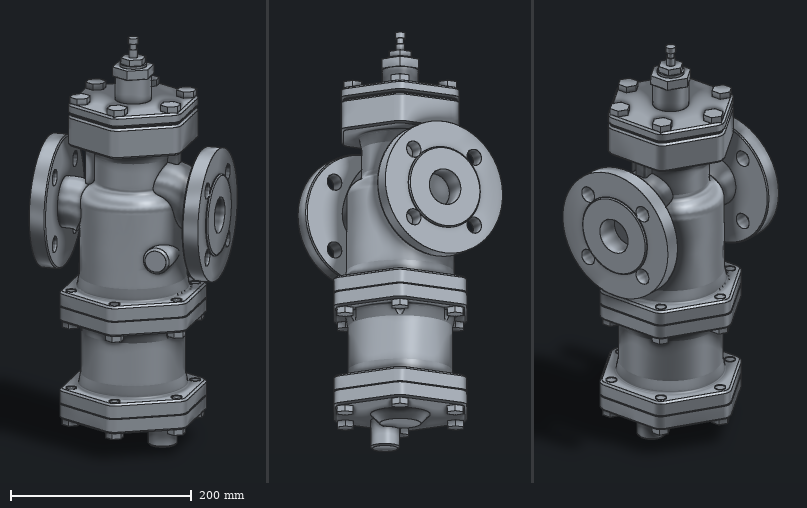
import cadquery as cq
import math

foot_boss_z = 21.5
lower_joint_z = 31.7
middle_joint_z = 144.0
joint_height = 35.0
port_z = 270.0
neck_base_z = 303.5
top_joint_z = 346.8
top_joint_height = 49.0
cover_z = top_joint_z + top_joint_height
stem_top_z = 466.5

joint_width = 147.5
joint_corner_radius = 13.0
joint_bolt_radius = 70.5
joint_bolt_width = 17.7
joint_bolt_hole_diameter = 12.0
joint_bolt_hole_depth = 1.0
spot_face_diameter = 24.5
spot_face_depth = 16.5
top_joint_width = 130.5
top_bolt_radius = 60.5
top_bolt_width = 20.0
bolt_head_height = 7.0
plate_edge = 2.5
seam_recess = 1.0
joint_seam = 1.0
gasket_height = 1.5
cover_height = 12.5

lower_radius = 116.0 / 2
body_radius = 120.0 / 2
shoulder_radius = 59.5
shoulder_z = 278.0
shoulder_blend_z = 295.5
neck_radius = 43.0
flare_height = 14.0
flare_width = 2.5
flare_fillet = 3.0

overall_length = 200.0
port_face_x = overall_length / 2
port_diameter = 150.0
port_thickness = 18.5
port_edge = 1.5
raised_face_diameter = 91.5
raised_face_height = 2.5
port_back_x = port_face_x - raised_face_height - port_thickness
port_bolt_diameter = 18.0
port_bolt_radius = 54.5
port_bolt_count = 4
port_bolt_start_angle = 180 / port_bolt_count
bore_diameter = 40.0
bore_depth = 25.5
pipe_radius = 29.0
inlet_bend_x = 72.5
inlet_bend_radius = 46.5
inlet_bend_angle = 30.0
outlet_bend_x = 93.0
outlet_bend_angle = 55.0
outlet_lower_bend_radius = 31.0
outlet_upper_bend_radius = 41.0

rib_reach = 54.0
rib_width = 15.0
rib_edge_radius = 3.5
rib_base_z = 284.5

plug_diameter = 30.0
plug_x = 43.0
plug_z = 227.5
plug_end_y = -56.0
plug_edge = 3.0

spindle_diameter = 40.0
spindle_top_z = 423.8
cap_width = 41.0
cap_top_z = 434.5
washer_diameter = 30.0
washer_top_z = 437.5
lock_nut_width = 24.7
lock_nut_top_z = 444.5
stem_diameter = 10.0
stem_shoulder_z = 453.5
stem_neck_diameter = 7.5
stem_head_z = 460.0
stem_head_diameter = 11.0

foot_boss_radius = 23.0
foot_boss_slope = 45.0
drain_diameter = 32.0
drain_x = 34.0
drain_edge = 2.0

overlap = 2.5


def hex_prism(width, z, height):
    """Hexagonal prism with flats facing +-X; width is measured across the flats."""
    across_corners = 2 * width / math.sqrt(3)
    return (
        cq.Workplane("XY")
        .workplane(offset=z)
        .polygon(6, across_corners)
        .extrude(height)
        .rotate((0, 0, 0), (0, 0, 1), 30)
    )


def disc(diameter, z, height, x=0.0):
    return cq.Workplane("XY").workplane(offset=z).center(x, 0).circle(diameter / 2).extrude(height)


def bolt_circle(radius):
    """Six points in line with the corners of the hexagonal joints."""
    angles = [math.radians(30 + 60 * i) for i in range(6)]
    return [(radius * math.cos(a), radius * math.sin(a)) for a in angles]


def at_bolts(piece, radius):
    copies = cq.Workplane("XY")
    for x, y in bolt_circle(radius):
        copies = copies.add(piece.translate((x, y, 0)))
    return copies.combine()


def hex_plate(width, z, height, beveled_faces):
    block = hex_prism(width, z, height).edges("|Z").fillet(joint_corner_radius)
    return block.faces(beveled_faces).edges().chamfer(plate_edge)


def seam(width, z, height):
    """Slightly recessed filling between two plates."""
    core = hex_prism(width - 2 * seam_recess, z - overlap, height + 2 * overlap)
    return core.edges("|Z").fillet(joint_corner_radius)


def bolted_joint(z):
    """Two plates pressed together, with bolt heads underneath and bolt holes on top."""
    plate_height = (joint_height - joint_seam) / 2
    seam_z = z + plate_height
    lower = hex_plate(joint_width, z, plate_height, "<Z")
    upper = hex_plate(joint_width, seam_z + joint_seam, plate_height, ">Z")
    plates = lower.union(seam(joint_width, seam_z, joint_seam)).union(upper)
    hole_z = z + joint_height - joint_bolt_hole_depth
    hole = disc(joint_bolt_hole_diameter, hole_z, joint_bolt_hole_depth)
    holes = at_bolts(hole, joint_bolt_radius)
    head = hex_prism(joint_bolt_width, z - bolt_head_height, bolt_head_height + overlap)
    return plates.cut(holes).union(at_bolts(head, joint_bolt_radius))


def top_joint():
    """Neck flange and cover, both beveled all round, with a recessed gasket between them."""
    flange_height = top_joint_height - cover_height - gasket_height
    gasket_z = top_joint_z + flange_height
    neck_flange = hex_plate(top_joint_width, top_joint_z, flange_height, "<Z or >Z")
    cover = hex_plate(top_joint_width, gasket_z + gasket_height, cover_height, "<Z or >Z")
    gasket = seam(top_joint_width - 2 * plate_edge, gasket_z, gasket_height)
    head = hex_prism(top_bolt_width, cover_z - overlap, bolt_head_height + overlap)
    return neck_flange.union(gasket).union(cover).union(at_bolts(head, top_bolt_radius))


def rise_flare(outline, radius, z):
    """Go up from a plate at z: hollow fillet, then a cone narrowing to the radius."""
    wide = radius + flare_width
    return (
        outline.moveTo(0, z - overlap)
        .lineTo(wide + flare_fillet, z - overlap)
        .lineTo(wide + flare_fillet, z)
        .radiusArc((wide, z + flare_fillet), flare_fillet)
        .lineTo(radius, z + flare_height)
    )


def end_flare(outline, radius, z):
    """Finish under a plate at z: a cone widening from the radius, then a hollow fillet."""
    wide = radius + flare_width
    return (
        outline.lineTo(radius, z - flare_height)
        .lineTo(wide, z - flare_fillet)
        .radiusArc((wide + flare_fillet, z), flare_fillet)
        .lineTo(wide + flare_fillet, z + overlap)
        .lineTo(0, z + overlap)
        .close()
        .revolve(360, (0, 0, 0), (0, 1, 0))
    )


def lower_body():
    outline = rise_flare(cq.Workplane("XZ"), lower_radius, lower_joint_z + joint_height)
    return end_flare(outline, lower_radius, middle_joint_z)


def upper_body():
    """Slightly tapered body whose rounded shoulder runs smoothly into a hollow at the neck."""
    outline = rise_flare(cq.Workplane("XZ"), body_radius, middle_joint_z + joint_height)
    blend = (shoulder_blend_z - shoulder_z) / (neck_base_z - shoulder_z)
    blend_radius = shoulder_radius - blend * (shoulder_radius - neck_radius)
    outline = (
        outline.lineTo(shoulder_radius, shoulder_z)
        .tangentArcPoint((blend_radius, shoulder_blend_z), relative=False)
        .tangentArcPoint((neck_radius, neck_base_z), relative=False)
    )
    return end_flare(outline, neck_radius, top_joint_z)


def neck_ribs():
    height = top_joint_z + overlap - rib_base_z
    return (
        cq.Workplane("XY")
        .workplane(offset=rib_base_z)
        .rect(2 * rib_reach, rib_width)
        .extrude(height)
        .edges("|Z")
        .fillet(rib_edge_radius)
    )


def port_flange():
    """Flange on the +X side with its raised face outwards."""
    plate = (
        cq.Workplane("YZ", origin=(port_back_x, 0, port_z))
        .circle(port_diameter / 2)
        .extrude(port_thickness)
        .faces("<X")
        .edges()
        .chamfer(port_edge)
    )
    face = (
        cq.Workplane("YZ", origin=(port_back_x, 0, port_z))
        .circle(raised_face_diameter / 2)
        .extrude(port_thickness + raised_face_height)
        .faces(">X")
        .edges()
        .chamfer(port_edge)
    )
    bolt_holes = (
        cq.Workplane("YZ", origin=(port_back_x, 0, port_z))
        .polarArray(port_bolt_radius, port_bolt_start_angle, 360, port_bolt_count)
        .circle(port_bolt_diameter / 2)
        .extrude(port_thickness + raised_face_height)
    )
    return plate.union(face).cut(bolt_holes)


def inlet_pipe():
    """Straight stub from the -X flange, then an elbow turning down into the body."""
    bend = math.radians(inlet_bend_angle)
    centre_z = port_z - inlet_bend_radius

    def bend_point(angle):
        x = -inlet_bend_x + inlet_bend_radius * math.sin(angle)
        return (x, centre_z + inlet_bend_radius * math.cos(angle))

    path = (
        cq.Workplane("XZ")
        .moveTo(-port_back_x - overlap, port_z)
        .lineTo(-inlet_bend_x, port_z)
        .threePointArc(bend_point(bend / 2), bend_point(bend))
    )
    return (
        cq.Workplane("YZ", origin=(-port_back_x - overlap, 0, port_z))
        .circle(pipe_radius)
        .sweep(path)
    )


def outlet_pipe():
    """S-bend: leaves the neck level and drops through two turns of equal angle to the +X flange."""
    full = math.radians(outlet_bend_angle)
    lower_centre_z = port_z + outlet_lower_bend_radius

    def lower_point(angle):
        x = outlet_bend_x - outlet_lower_bend_radius * math.sin(angle)
        return (x, lower_centre_z - outlet_lower_bend_radius * math.cos(angle))

    joint_x, joint_z = lower_point(full)
    upper_centre_x = joint_x - outlet_upper_bend_radius * math.sin(full)
    upper_centre_z = joint_z - outlet_upper_bend_radius * math.cos(full)

    def upper_point(angle):
        x = upper_centre_x + outlet_upper_bend_radius * math.sin(angle)
        return (x, upper_centre_z + outlet_upper_bend_radius * math.cos(angle))

    path = (
        cq.Workplane("XZ")
        .moveTo(0, upper_centre_z + outlet_upper_bend_radius)
        .lineTo(*upper_point(0))
        .threePointArc(upper_point(full / 2), upper_point(full))
        .threePointArc(lower_point(full / 2), lower_point(0))
    )
    start = cq.Workplane("YZ", origin=(0, 0, upper_centre_z + outlet_upper_bend_radius))
    pipe = start.circle(pipe_radius).sweep(path)
    box_size = 2 * (port_back_x + overlap)
    trim_box = cq.Workplane("XY").box(box_size, box_size, box_size).translate((0, 0, port_z))
    return pipe.intersect(trim_box)


def bore(direction):
    face_x = direction * port_face_x
    return (
        cq.Workplane("YZ", origin=(face_x, 0, port_z))
        .circle(bore_diameter / 2)
        .extrude(-direction * bore_depth)
    )


def side_plug():
    return (
        cq.Workplane("XZ", origin=(plug_x, 0, plug_z))
        .circle(plug_diameter / 2)
        .extrude(-plug_end_y)
        .faces("<Y")
        .edges()
        .chamfer(plug_edge)
    )


def spindle():
    post = disc(spindle_diameter, cover_z - overlap, spindle_top_z - cover_z + overlap)
    cap = hex_prism(cap_width, spindle_top_z, cap_top_z - spindle_top_z)
    washer = disc(washer_diameter, cap_top_z, washer_top_z - cap_top_z)
    nut = hex_prism(lock_nut_width, washer_top_z, lock_nut_top_z - washer_top_z)
    stem = disc(stem_diameter, lock_nut_top_z, stem_shoulder_z - lock_nut_top_z)
    neck = disc(stem_neck_diameter, stem_shoulder_z, stem_head_z - stem_shoulder_z)
    head = disc(stem_head_diameter, stem_head_z, stem_top_z - stem_head_z)
    return post.union(cap).union(washer).union(nut).union(stem).union(neck).union(head)


def foot_boss():
    """Cone widening up to the lower joint with the drain pipe beside its centre."""
    height = lower_joint_z + overlap - foot_boss_z
    cone = (
        cq.Workplane("XY")
        .workplane(offset=foot_boss_z)
        .circle(foot_boss_radius)
        .extrude(height, taper=-foot_boss_slope)
    )
    drain = disc(drain_diameter, 0, lower_joint_z + overlap, drain_x)
    return cone.union(drain.faces("<Z").edges().chamfer(drain_edge))


def spot_faces():
    """Clearance for the bolt heads under the middle joint, cut into the flare of the lower body."""
    pocket = disc(spot_face_diameter, middle_joint_z - spot_face_depth, spot_face_depth)
    return at_bolts(pocket, joint_bolt_radius)


flange = port_flange()
body = lower_body().cut(spot_faces()).union(upper_body())
body = body.union(bolted_joint(lower_joint_z)).union(bolted_joint(middle_joint_z))
body = body.union(top_joint())
body = body.union(neck_ribs()).union(inlet_pipe()).union(outlet_pipe())
body = body.union(flange).union(flange.mirror("YZ"))
body = body.cut(bore(-1)).cut(bore(1))
body = body.union(side_plug()).union(spindle()).union(foot_boss())

result = body